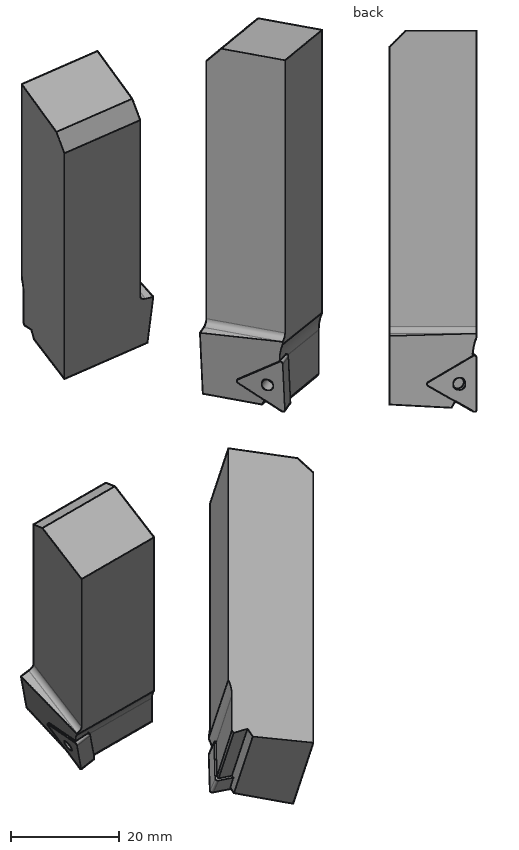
import cadquery as cq
import math

shank_width = 16.0
shank_depth = 16.0
tool_height = 70.0
peak_y = 18.76
shank_chamfer = 3.0

peak_z = 13.95
ledge_slope = 15.0
ledge_fillet = 1.4
notch_bottom_x = 4.6
notch_bottom_z = 0.75
end_face_slope = 3.0
notch_top_x = 3.6
nose_x = 1.0
nose_z = 0.95
nose_side_x = 0.6
nose_side_z = 1.55

relief_depth_front = 0.66
relief_depth_back = 0.72
relief_straight_top = 10.3
relief_radius = 9.0

insert_side = 11.0
insert_thickness = 3.18
insert_corner_radius = 0.4
insert_hole_diameter = 2.26
corner_angle = 60.0
insert_stand_off = 0.35
rake_side_tilt = 6.0
rake_end_tilt = 5.6

side_rad = math.radians(rake_side_tilt)
end_rad = math.radians(rake_end_tilt)
corner_center_u = insert_corner_radius
corner_center_v = insert_corner_radius / math.tan(math.radians(corner_angle / 2))
u_drop = math.sin(side_rad) * math.sin(end_rad)
v_rise = math.cos(end_rad)
rounded_tip_rise = (
    corner_center_v * v_rise
    - corner_center_u * u_drop
    - insert_corner_radius * math.hypot(u_drop, v_rise)
)
corner_z = -rounded_tip_rise
corner_y = (
    peak_y
    - shank_width * math.tan(side_rad) / math.cos(end_rad)
    - (peak_z - corner_z) * math.tan(end_rad)
    + insert_stand_off / (math.cos(side_rad) * math.cos(end_rad))
)


def place_on_rake(body):
    """Tilt a body modelled on the plane Y = 0 so that this plane becomes the insert's face."""
    tilted = body.rotate((0, 0, 0), (0, 0, 1), rake_side_tilt)
    tilted = tilted.rotate((0, 0, 0), (1, 0, 0), -rake_end_tilt)
    return tilted.translate((0, corner_y, corner_z))


def make_insert_blank():
    """Triangular plate without its hole; one edge stands along Z."""
    triangle_height = insert_side * math.sin(math.radians(corner_angle))
    return (
        cq.Workplane("XZ")
        .polyline([(0, 0), (triangle_height, insert_side / 2), (0, insert_side)])
        .close()
        .extrude(insert_thickness)
        .edges("|Y")
        .fillet(insert_corner_radius)
    )


def make_insert():
    inscribed_radius = insert_side / (2 * math.sqrt(3))
    hole = (
        cq.Workplane("XZ")
        .center(inscribed_radius, insert_side / 2)
        .circle(insert_hole_diameter / 2)
        .extrude(insert_thickness)
    )
    return place_on_rake(make_insert_blank().cut(hole))


def make_side_profile():
    """Shank and head seen along X: the head rises from the shank over a filleted ledge."""
    slope = math.radians(ledge_slope)
    fillet_end_y = shank_depth + ledge_fillet * (1 - math.sin(slope))
    fillet_end_z = peak_z + (peak_y - fillet_end_y) * math.tan(slope)
    fillet_start_z = fillet_end_z + ledge_fillet * math.cos(slope)
    return (
        cq.Workplane("YZ")
        .moveTo(0, 0)
        .lineTo(peak_y, 0)
        .lineTo(peak_y, peak_z)
        .lineTo(fillet_end_y, fillet_end_z)
        .radiusArc((shank_depth, fillet_start_z), ledge_fillet)
        .lineTo(shank_depth, tool_height)
        .lineTo(0, tool_height)
        .close()
        .extrude(shank_width)
    )


def make_end_profile():
    """Shank and head seen along Y: top chamfer, end face, notch and insert support."""
    end_face_rise = (shank_width - notch_bottom_x) * math.tan(math.radians(end_face_slope))
    notch_top_z = nose_z + (notch_top_x - nose_x) * math.tan(math.radians(90 - corner_angle))
    return (
        cq.Workplane("XZ")
        .polyline([
            (0, tool_height),
            (shank_width - shank_chamfer, tool_height),
            (shank_width, tool_height - shank_chamfer),
            (shank_width, notch_bottom_z + end_face_rise),
            (notch_bottom_x, notch_bottom_z),
            (notch_top_x, notch_top_z),
            (nose_x, nose_z),
            (nose_side_x, nose_side_z),
            (0, nose_side_z),
        ])
        .close()
        .extrude(-peak_y)
    )


def make_rake_cutter():
    """Block that removes everything beyond the head's tilted rake face, below the ledge."""
    reach = 2 * shank_width
    block = cq.Workplane("XY").box(2 * reach, reach, 2 * reach, centered=(True, False, True))
    block = block.translate((0, -insert_stand_off, 0))
    below_ledge = cq.Workplane("XY").box(4 * reach, 4 * reach, 4 * reach)
    below_ledge = below_ledge.translate((0, 0, peak_z + ledge_fillet - 2 * reach))
    return place_on_rake(block).intersect(below_ledge)


def make_relief_cutter():
    """Shallow side relief running out upward in an arc, slightly deeper toward +Y."""
    taper = math.degrees(math.atan((relief_depth_back - relief_depth_front) / shank_depth))
    outside = -1.0
    overrun = 5.0
    arc_rise = math.sqrt(relief_radius**2 - (relief_radius - relief_depth_front + outside) ** 2)
    cutter = (
        cq.Workplane("XZ", origin=(0, -overrun, 0))
        .moveTo(outside, -overrun)
        .lineTo(relief_depth_front, -overrun)
        .lineTo(relief_depth_front, relief_straight_top)
        .radiusArc((outside, relief_straight_top + arc_rise), -relief_radius)
        .close()
        .extrude(-(peak_y + 2 * overrun))
    )
    return cutter.rotate((0, 0, 0), (0, 0, 1), -taper)


def make_holder():
    return (
        make_side_profile()
        .intersect(make_end_profile())
        .cut(make_rake_cutter())
        .cut(make_relief_cutter())
        .cut(place_on_rake(make_insert_blank()))
    )


holder = make_holder()
insert = make_insert()

result = cq.Compound.makeCompound([holder.val(), insert.val()])